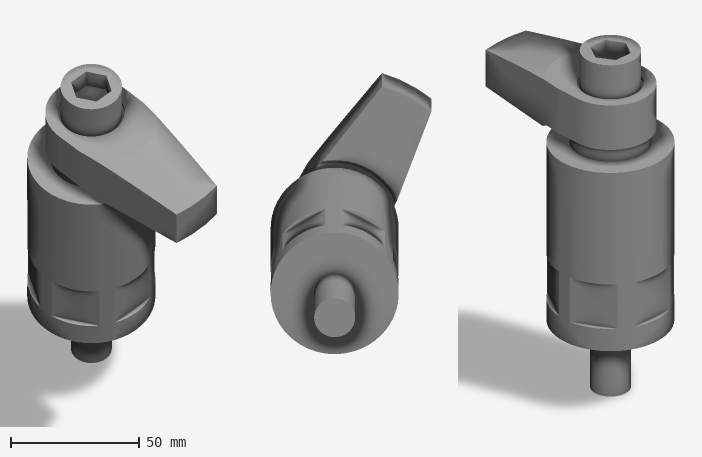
import cadquery as cq
import math

total_height = 151.0
shank_diameter = 16.0
head_diameter = 24.0
head_height = 16.0
socket_across_flats = 14.2
socket_depth = 8.0
head_base_z = total_height - head_height

housing_base_z = 30.0
housing_diameter = 50.0
housing_height = 80.0
collar_diameter = 32.0
collar_height = 6.3
flat_count = 6
flat_across = 46.0
flat_offset = 10.0
flat_height = 20.0
housing_top_z = housing_base_z + housing_height

hub_radius = 18.0
hub_length = 10.0
hub_height = 20.0
counterbore_diameter = 26.0
lever_reach = 59.8
side_taper = 8.4
tip_drop = 5.0
bottom_drop = 1.5
clearance_radius = housing_diameter / 2
hub_base_z = housing_top_z + collar_height
hub_top_z = hub_base_z + hub_height


def disc(diameter, base_z, height):
    return cq.Workplane("XY").workplane(offset=base_z).circle(diameter / 2).extrude(height)


def frustum(lower_radius, upper_radius, base_z, height, center_x):
    solid = cq.Solid.makeCone(lower_radius, upper_radius, height, cq.Vector(center_x, 0, base_z))
    return cq.Workplane("XY").newObject([solid])


def make_screw():
    shank = disc(shank_diameter, 0, head_base_z)
    head = disc(head_diameter, head_base_z, head_height)
    socket = (
        cq.Workplane("XY")
        .workplane(offset=total_height - socket_depth)
        .polygon(6, socket_across_flats / math.cos(math.pi / 6))
        .extrude(socket_depth)
        .rotate((0, 0, 0), (0, 0, 1), 30)
    )
    return shank.union(head).cut(socket)


def make_housing():
    housing = disc(housing_diameter, housing_base_z, housing_height)
    collar = disc(collar_diameter, housing_top_z, collar_height)
    housing = housing.union(collar)

    hexagon = (
        cq.Workplane("XY")
        .workplane(offset=housing_base_z + flat_offset)
        .polygon(flat_count, flat_across / math.cos(math.pi / flat_count))
        .extrude(flat_height)
        .rotate((0, 0, 0), (0, 0, 1), 180 / flat_count)
    )
    band = disc(housing_diameter * 2, housing_base_z + flat_offset, flat_height)
    housing = housing.cut(band.cut(hexagon))
    return housing.cut(disc(shank_diameter, housing_base_z, housing_height + collar_height))


def make_hub():
    return (
        cq.Workplane("XY")
        .workplane(offset=hub_base_z)
        .center(hub_length / 2, 0)
        .slot2D(hub_length + 2 * hub_radius, 2 * hub_radius)
        .extrude(hub_height)
    )


def make_arm():
    taper = math.radians(side_taper)
    root_x = hub_length + hub_radius * math.sin(taper)
    root_y = hub_radius * math.cos(taper)

    side_offset = hub_radius + hub_length * math.sin(taper)
    end_angle = math.asin(side_offset / lever_reach) - taper
    end_x = lever_reach * math.cos(end_angle)
    end_y = lever_reach * math.sin(end_angle)
    arm_base_z = hub_base_z - bottom_drop
    arm = (
        cq.Workplane("XY")
        .workplane(offset=arm_base_z)
        .moveTo(root_x, -root_y)
        .lineTo(end_x, -end_y)
        .threePointArc((lever_reach, 0), (end_x, end_y))
        .lineTo(root_x, root_y)
        .close()
        .extrude(hub_height + bottom_drop)
    )

    slope = tip_drop / (lever_reach - hub_length - hub_radius)
    base_radius = hub_radius + (hub_height + bottom_drop) / slope
    arm = arm.intersect(frustum(base_radius, hub_radius, arm_base_z, hub_height + bottom_drop, hub_length))

    relief = frustum(clearance_radius + bottom_drop, clearance_radius, arm_base_z, bottom_drop, 0)
    return arm.cut(relief)


def make_lever():
    lever = make_hub().union(make_arm())
    bore = disc(shank_diameter, hub_base_z, hub_height)
    counterbore = disc(counterbore_diameter, head_base_z, hub_top_z - head_base_z)
    return lever.cut(bore).cut(counterbore)


screw = make_screw()
housing = make_housing()
lever = make_lever()

result = cq.Compound.makeCompound([screw.val(), housing.val(), lever.val()])